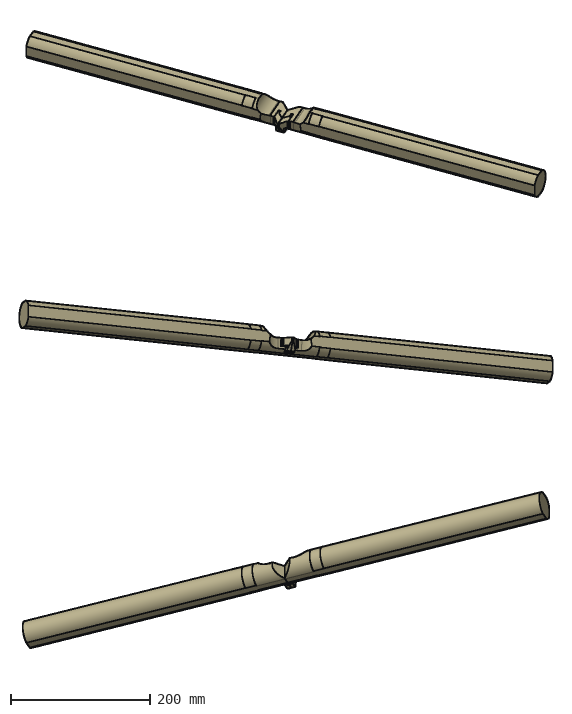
import cadquery as cq
import math

overall_length = 803.57
bar_radius = 20.0
collar_radius = 19.9
collar_outer_x = 61.0
hinge_end_radius = 19.7
hinge_end_x = 44.6
flat_height = 38.0
front_flat_y = -18.1

pad_half_length = 18.2
pad_rise = 0.2
hinge_tilt = 5.7
hinge_top_z = 2.6
hinge_front_y = -14.5
top_neck_radius = 19.5
top_neck_tangent_x = 20.8
front_neck_radius = 25.0
fold_gap = 0.2

notch_apex_y = 6.0
overall_depth = 46.65
nose_tip_y = bar_radius - overall_depth
nose_root_half_width = 13.3
nose_half_width = 9.7
nose_shoulder_y = -16.0
nose_tip_half_width = 1.6
nose_tip_shoulder_y = -25.9
nose_bottom_z = -11.0
pedestal_half_width = 6.0
chin_top_z = -4.8
chin_bottom_y = -19.0

leaf_half_width = 11.5
leaf_shoulder_x = 8.5
leaf_shoulder_back_y = 0.8
leaf_apex_y = -13.0

half_length = overall_length / 2
half_height = flat_height / 2
inner_face_x = fold_gap / 2
clear = 60.0


def bar_blank(x_start, x_end):
    """Part of the +X bar: round stretches of three radii sharing the same flats."""
    rod = cq.Workplane("YZ").circle(hinge_end_radius).extrude(hinge_end_x)
    for radius, start, end in (
        (collar_radius, hinge_end_x, collar_outer_x),
        (bar_radius, collar_outer_x, half_length),
    ):
        stretch = cq.Workplane("YZ", origin=(start, 0, 0)).circle(radius).extrude(end - start)
        rod = rod.union(stretch)
    flats = cq.Workplane("XY", origin=(x_start, front_flat_y, 0)).box(
        x_end - x_start, bar_radius - front_flat_y, flat_height, centered=(False, False, True)
    )
    return rod.intersect(flats)


def tilted(shape):
    """Lean a hinge tool about X, through the hinge top above the bar axis."""
    pivot = (0, 0, hinge_top_z)
    return shape.rotate(pivot, (1, 0, hinge_top_z), hinge_tilt)


def neck_relief(plane_name, tangent_x, radius):
    """Relief tool: flat near the centre, then an arc rising out of the bar."""
    end_x = tangent_x + radius
    mid_x = tangent_x + radius * math.sin(math.radians(45))
    mid_rise = radius * (1 - math.cos(math.radians(45)))
    return (
        cq.Workplane(plane_name)
        .moveTo(-clear, 0)
        .lineTo(tangent_x, 0)
        .threePointArc((mid_x, mid_rise), (end_x, radius))
        .lineTo(end_x, clear)
        .lineTo(-clear, clear)
        .close()
        .extrude(clear, both=True)
    )


def top_relief():
    """Removes everything above the leaning hinge top."""
    relief = neck_relief("XZ", top_neck_tangent_x, top_neck_radius)
    pad = cq.Workplane("XY").box(
        2 * pad_half_length, 2 * clear, pad_rise, centered=(True, True, False)
    )
    return tilted(relief.cut(pad).translate((0, 0, hinge_top_z - pad_rise)))


def front_relief():
    """Removes everything in front of the recessed -Y wall."""
    relief = neck_relief("XY", pad_half_length, front_neck_radius).mirror("XZ")
    return tilted(relief.translate((0, hinge_front_y, 0)))


def nose_block(bottom_z, top_z):
    """Pointed block on the -Y side, with its lower front sloping back to the bottom."""
    block = (
        cq.Workplane("XY", origin=(0, 0, bottom_z))
        .polyline([
            (inner_face_x, notch_apex_y),
            (nose_root_half_width, notch_apex_y),
            (nose_root_half_width, hinge_front_y),
            (nose_half_width, nose_shoulder_y),
            (nose_tip_half_width, nose_tip_shoulder_y),
            (inner_face_x, nose_tip_y),
        ])
        .close()
        .extrude(top_z - bottom_z)
    )
    chin = (
        cq.Workplane("YZ")
        .polyline([
            (nose_tip_y, chin_top_z),
            (chin_bottom_y, -half_height),
            (nose_tip_y, -half_height),
        ])
        .close()
        .extrude(clear)
    )
    return block.cut(chin)


def fold_notch():
    """45 degree clearance that lets the two sides fold together."""
    return (
        cq.Workplane("XY", origin=(0, 0, -clear))
        .polyline([(0, notch_apex_y), (0, notch_apex_y + clear), (clear, notch_apex_y + clear)])
        .close()
        .extrude(2 * clear)
    )


def leaf_space():
    """Space the leaf takes up: wide at the top, as narrow as the pedestal below the nose."""
    outline = (
        cq.Workplane("XY", origin=(0, 0, -clear))
        .polyline([
            (0, leaf_apex_y),
            (leaf_shoulder_x, leaf_apex_y + leaf_shoulder_x),
            (leaf_shoulder_x, leaf_shoulder_back_y),
            (leaf_half_width, leaf_shoulder_back_y),
            (leaf_half_width, -clear),
            (0, -clear),
        ])
        .close()
        .extrude(2 * clear)
    )
    undercut = cq.Workplane("XY", origin=(pedestal_half_width, -clear, nose_bottom_z - clear)).box(
        clear, 2 * clear, clear, centered=False
    )
    return outline.cut(undercut)


def side_blank():
    """Whole +X side with its nose, before the leaf is separated from the arm."""
    bar = bar_blank(inner_face_x, half_length).cut(front_relief())
    side = bar.union(nose_block(nose_bottom_z, half_height))
    return side.cut(top_relief()).cut(fold_notch())


def make_arm():
    """Bar on the +X side, necked down to the hinge and recessed for its leaf."""
    return side_blank().cut(leaf_space())


def make_leaf():
    """Nose piece on the +X side, with the pedestal under it reaching the bottom flat."""
    pedestal = nose_block(-half_height, nose_bottom_z)
    return side_blank().union(pedestal).intersect(leaf_space())


right_arm = make_arm()
right_leaf = make_leaf()

bodies = []
for body in (right_arm, right_leaf):
    bodies.append(body.val())
    bodies.append(body.mirror("YZ").val())

result = cq.Compound.makeCompound(bodies)